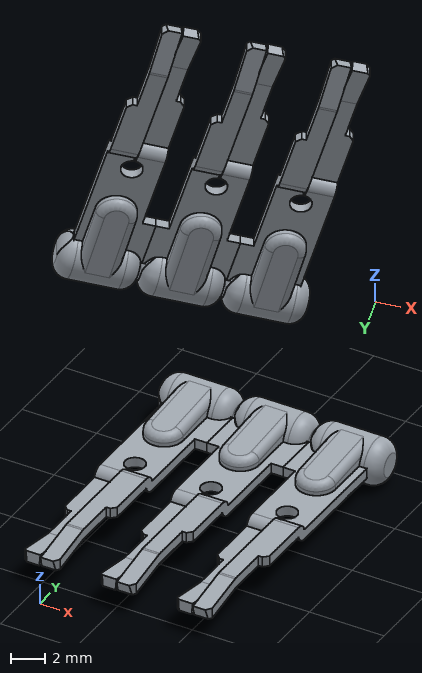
import cadquery as cq
import math

pole_count = 3
pitch = 5.1
overall_length = 20.35

head_width = 4.96
head_height = 3.0
head_radius = head_height / 2
head_end_radius = 0.75
head_end_length = 0.95
relief_start_y = -0.2
relief_depth = 0.75

tongue_width = 2.48
tongue_end_y = -4.27
tongue_end_height = 2.38
tongue_end_half_height = tongue_end_height / 2
tongue_fillet = 0.5

thickness = 0.7
blade_width = 3.5
blade_top_y = -0.71
bridge_bottom_y = -3.75
hole_y = -7.7
hole_diameter = 1.3
slit_width = 0.1
jog_y = -8.75
leg_inner_z = 0.18
shoulder_y = -13.14
leg_width = 2.35
corner_chamfer = 0.3
tip_bend_y = -15.75
tip_bend_angle = math.radians(10.5)
tip_y = head_radius - overall_length


def make_head():
    half_width = head_width / 2
    barrel_end = half_width - head_end_length
    head = (
        cq.Workplane("XY")
        .moveTo(0, 0)
        .lineTo(0, head_radius)
        .lineTo(barrel_end, head_radius)
        .tangentArcPoint((half_width, head_end_radius), relative=False)
        .lineTo(half_width, 0)
        .close()
        .revolve(360, (0, 0, 0), (1, 0, 0))
    )
    head = head.union(head.mirror("YZ"))

    relief = (
        cq.Workplane("XY")
        .moveTo(-half_width, 0)
        .lineTo(-half_width, relief_start_y)
        .tangentArcPoint((-half_width + relief_depth, -head_radius), relative=False)
        .lineTo(-head_width, -head_radius)
        .lineTo(-head_width, 0)
        .close()
        .extrude(head_radius, both=True)
    )
    return head.cut(relief)


def make_tongue():
    nose_distance = math.hypot(tongue_end_y, tongue_end_half_height)
    nose_elevation = math.atan2(tongue_end_half_height, -tongue_end_y)
    slope = math.asin(head_radius / nose_distance) - nose_elevation
    root_y = -head_radius * math.sin(slope)
    root_z = head_radius * math.cos(slope)

    nose_radius = tongue_width / 2
    nose_y = tongue_end_y - nose_radius
    nose_z = tongue_end_half_height - nose_radius * math.tan(slope)

    wedge = (
        cq.Workplane("YZ")
        .polyline([(root_y, root_z), (nose_y, nose_z), (nose_y, -nose_z), (root_y, -root_z)])
        .close()
        .extrude(nose_radius, both=True)
    )
    round_nosed_plan = (
        cq.Workplane("XY")
        .moveTo(-nose_radius, root_y)
        .lineTo(-nose_radius, tongue_end_y)
        .threePointArc((0, nose_y), (nose_radius, tongue_end_y))
        .lineTo(nose_radius, root_y)
        .close()
        .extrude(head_radius, both=True)
    )
    return wedge.intersect(round_nosed_plan).edges("not (|X or |Z)").fillet(tongue_fillet)


def make_leg_sheet(width):
    """Bent sheet of the lower leg, seen as a Y-Z outline and extruded from X = 0 to X = width."""
    half = thickness / 2

    step_angle = math.acos((half - leg_inner_z) / thickness)
    step_start = (jog_y, -half)
    step_end = (jog_y - thickness * math.sin(step_angle), -leg_inner_z)
    tip_corner = (tip_bend_y, -leg_inner_z)

    def around(corner, angle):
        """Point one sheet thickness from a corner; the angle turns from +Z towards -Y."""
        return (corner[0] - thickness * math.sin(angle), corner[1] + thickness * math.cos(angle))

    tip_outer = around(tip_corner, math.pi - tip_bend_angle)
    tip_run = tip_outer[0] - tip_y
    tip_rise = tip_run * math.tan(tip_bend_angle)

    return (
        cq.Workplane("YZ")
        .moveTo(blade_top_y, half)
        .lineTo(jog_y, half)
        .threePointArc(around(step_start, step_angle / 2), step_end)
        .lineTo(*tip_corner)
        .lineTo(tip_corner[0] - tip_run, tip_corner[1] + tip_rise)
        .lineTo(tip_y, tip_outer[1] + tip_rise)
        .lineTo(*tip_outer)
        .threePointArc(around(tip_corner, math.pi - tip_bend_angle / 2), around(tip_corner, math.pi))
        .lineTo(*around(step_end, math.pi))
        .threePointArc(around(step_end, math.pi + step_angle / 2), step_start)
        .lineTo(blade_top_y, -half)
        .close()
        .extrude(width)
    )


def make_blade_plan(left_reach, right_reach):
    """Blade seen along Z; the reaches are its extents at the top, where bridges may widen it."""
    half_blade = blade_width / 2
    half_leg = leg_width / 2

    def block(x_min, x_max, y_min, y_max):
        return (
            cq.Workplane("XY")
            .box(x_max - x_min, y_max - y_min, head_height)
            .translate(((x_min + x_max) / 2, (y_min + y_max) / 2, 0))
        )

    body = block(-half_blade, half_blade, shoulder_y, blade_top_y)
    legs = block(-half_leg, half_leg, tip_y, blade_top_y)
    body = body.edges("|Z and <Y").chamfer(corner_chamfer)
    legs = legs.edges("|Z and <Y").chamfer(corner_chamfer)
    bridge = block(-left_reach, right_reach, bridge_bottom_y, blade_top_y)
    hole = cq.Workplane("XY").center(0, hole_y).circle(hole_diameter / 2).extrude(head_radius, both=True)
    slit = block(-slit_width / 2, slit_width / 2, tip_y, hole_y)
    return body.union(legs).union(bridge).cut(hole).cut(slit)


def make_blade(left_reach, right_reach):
    lower_leg = make_leg_sheet(-pitch / 2)
    upper_leg = make_leg_sheet(pitch / 2).mirror("XY")
    return lower_leg.union(upper_leg).intersect(make_blade_plan(left_reach, right_reach))


def make_handle(blade):
    return make_head().union(make_tongue()).cut(blade)


bodies = []
for index in range(pole_count):
    pole_x = (index - (pole_count - 1) / 2) * pitch

    left_reach = pitch / 2 if index > 0 else blade_width / 2
    right_reach = pitch / 2 if index < pole_count - 1 else blade_width / 2

    blade = make_blade(left_reach, right_reach)
    handle = make_handle(blade)
    bodies.append(blade.translate((pole_x, 0, 0)).val())
    bodies.append(handle.translate((pole_x, 0, 0)).val())

result = cq.Compound.makeCompound(bodies)